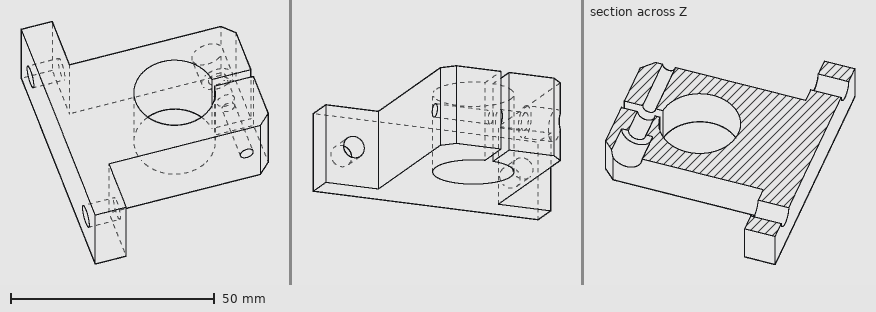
import cadquery as cq

base_length = 60.0
base_thickness = 8.0
total_height = 50.0
width = 20.0

upright_length = 32.0
corner_chamfer = 3.0

bore_diameter = 20.0
bore_height = 30.0
slot_width = 2.15

mount_hole_diameter = 5.5
mount_hole_spacing = 45.0

screw_height = 43.5
head_diameter = 8.0
head_depth = 8.0
clearance_diameter = 4.5
tap_diameter = 3.3

mid_width = width / 2
upright_side = upright_length / 2


def make_body():
    """T-shaped block with both free corners of the upright chamfered."""
    base = cq.Workplane("XY").box(
        base_length, base_thickness, width, centered=(True, False, False)
    )
    upright = (
        cq.Workplane("XY")
        .box(upright_length, total_height, width, centered=(True, False, False))
        .faces(">Y")
        .edges("|Z")
        .chamfer(corner_chamfer)
    )
    return base.union(upright)


def make_bore_and_slot():
    """Shaft bore joined to the slot that runs out through the +Y end."""
    bore = cq.Workplane("XY").center(0, bore_height).circle(bore_diameter / 2).extrude(width)
    slot = (
        cq.Workplane("XY")
        .box(slot_width, total_height - bore_height, width, centered=(True, False, False))
        .translate((0, bore_height, 0))
    )
    return bore.union(slot)


def make_mount_holes():
    """Pair of plain holes along Y through the base flanges."""
    holes = cq.Workplane("XY")
    for side in (-1, 1):
        start = cq.Vector(side * mount_hole_spacing / 2, 0, mid_width)
        hole = cq.Solid.makeCylinder(
            mount_hole_diameter / 2, base_thickness, start, cq.Vector(0, 1, 0)
        )
        holes = holes.add(hole)
    return holes.combine()


def screw_cylinder(diameter, length):
    """Cylinder on the screw axis, running along +X from the -X side of the upright."""
    start = cq.Vector(-upright_side, screw_height, mid_width)
    return cq.Workplane(cq.Solid.makeCylinder(diameter / 2, length, start, cq.Vector(1, 0, 0)))


def make_screw_hole():
    """Stepped hole: head recess, clearance as far as the slot, smaller hole beyond it."""
    recess = screw_cylinder(head_diameter, head_depth)
    clearance = screw_cylinder(clearance_diameter, upright_side)
    tap_hole = screw_cylinder(tap_diameter, upright_length)
    return recess.union(clearance).union(tap_hole)


result = (
    make_body()
    .cut(make_bore_and_slot())
    .cut(make_mount_holes())
    .cut(make_screw_hole())
)